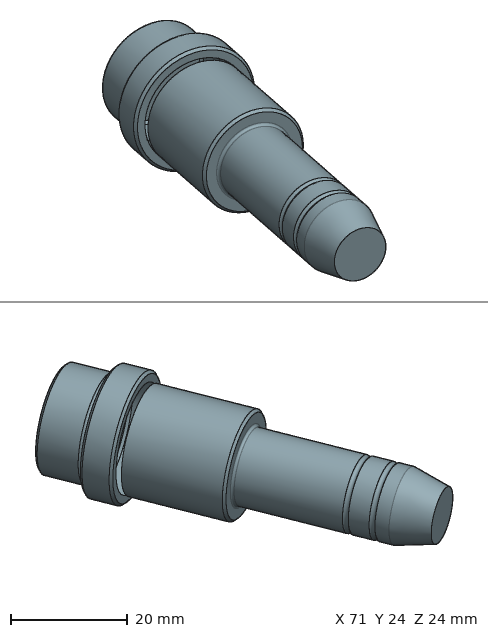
import cadquery as cq
import math

length = 71.0
body_radius = 20.0 / 2
flange_radius = 24.0 / 2
stem_radius = 14.0 / 2
edge_chamfer = 0.5
root_fillet = 0.5

flange_start = 9.0
flange_end = 15.0
body_end = 35.0
nose_start = 64.0
nose_angle = 15.0

relief_width = 1.0
stem_groove_width = 1.1
stem_groove_depth = 0.4
stem_groove_centers = (55.95, 60.85)


def cylinder(start, end, radius):
    """Solid cylinder along X between two distances from the plain end."""
    return cq.Workplane("YZ", origin=(start - length / 2, 0, 0)).circle(radius).extrude(end - start)


def round_groove(center, surface_radius, width, depth):
    """Ring whose arc section cuts a groove of the given width and depth."""
    arc_radius = (width**2 / 4 + depth**2) / (2 * depth)
    return (
        cq.Workplane("XY")
        .center(center - length / 2, surface_radius - depth + arc_radius)
        .circle(arc_radius)
        .revolve(360, (0, depth - arc_radius - surface_radius), (1, depth - arc_radius - surface_radius))
    )


body = cylinder(0, body_end, body_radius).edges().chamfer(edge_chamfer)
for relief_center in (flange_start - relief_width / 2, flange_end + relief_width / 2):
    body = body.cut(round_groove(relief_center, body_radius, relief_width, relief_width / 2))

flange = cylinder(flange_start, flange_end, flange_radius).edges().chamfer(edge_chamfer)

nose_radius = stem_radius - (length - nose_start) * math.tan(math.radians(nose_angle))
body_end_x = body_end - length / 2
stem = (
    cq.Workplane("XY")
    .moveTo(body_end_x, 0)
    .lineTo(body_end_x, stem_radius + root_fillet)
    .radiusArc((body_end_x + root_fillet, stem_radius), -root_fillet)
    .lineTo(nose_start - length / 2, stem_radius)
    .lineTo(length / 2, nose_radius)
    .lineTo(length / 2, 0)
    .close()
    .revolve(360, (0, 0), (1, 0))
)
for groove_center in stem_groove_centers:
    stem = stem.cut(round_groove(groove_center, stem_radius, stem_groove_width, stem_groove_depth))

result = body.union(flange).union(stem)